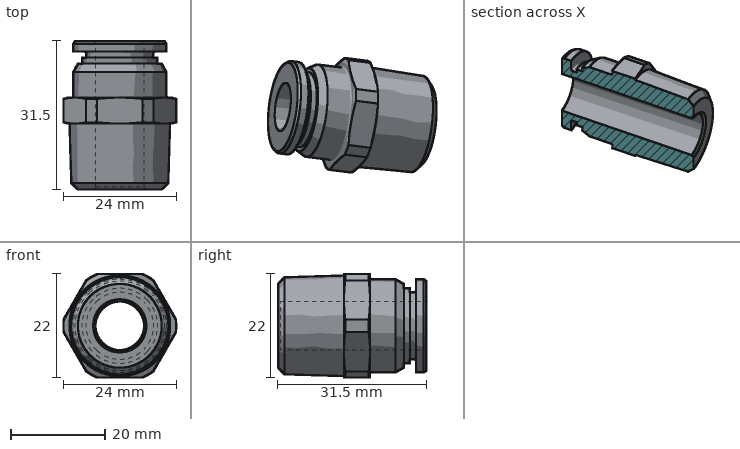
import cadquery as cq
import math

thread_chamfer_y = 1.35
hex_start_y = 14.0
hex_end_y = 19.5
shoulder_start_y = 24.9
shoulder_end_y = 26.7
ring_end_y = 28.0
cap_start_y = 29.25
cap_chamfer_y = 30.9
overall_length = 31.5

thread_tip_radius = 8.9
thread_small_radius = 10.32
thread_large_radius = 10.7
body_radius = 9.9
shoulder_radius = 8.9
ring_radius = 8.0
sleeve_radius = 7.15
cap_radius = 9.9
cap_edge_radius = 9.5

root_fillet = 0.3

hex_sides = 6
hex_across_flats = 22.0
hex_corner_diameter = 24.0
hex_bevel_angle = 15.0

bore_radius = 5.15
bore_chamfer = 0.5


def revolve_profile(outline):
    """Revolve an open (radius, y) outline, closed along the Y axis, around that axis."""
    return outline.close().revolve(360, (0, 0, 0), (0, 1, 0))


def turned_body():
    """Tapered thread, cylindrical body, ring, sleeve and release cap as one turned blank."""
    return revolve_profile(
        cq.Workplane("XY")
        .lineTo(thread_tip_radius, 0)
        .lineTo(thread_small_radius, thread_chamfer_y)
        .lineTo(thread_large_radius, hex_start_y)
        .lineTo(thread_large_radius, hex_end_y)
        .lineTo(body_radius + root_fillet, hex_end_y)
        .radiusArc((body_radius, hex_end_y + root_fillet), root_fillet)
        .lineTo(body_radius, shoulder_start_y)
        .lineTo(shoulder_radius, shoulder_end_y)
        .lineTo(ring_radius, shoulder_end_y)
        .lineTo(ring_radius, ring_end_y)
        .lineTo(sleeve_radius, ring_end_y)
        .lineTo(sleeve_radius, cap_start_y - root_fillet)
        .radiusArc((sleeve_radius + root_fillet, cap_start_y), root_fillet)
        .lineTo(cap_radius, cap_start_y)
        .lineTo(cap_radius, cap_chamfer_y)
        .lineTo(cap_edge_radius, overall_length)
        .lineTo(0, overall_length)
    )


def hexagon():
    """Hexagon with rounded corners and both end faces bevelled down to the flats."""
    flat_radius = hex_across_flats / 2
    corner_radius = hex_corner_diameter / 2
    bevel_height = (corner_radius - flat_radius) * math.tan(math.radians(hex_bevel_angle))
    sharp_diameter = hex_across_flats / math.cos(math.pi / hex_sides)
    prism = (
        cq.Workplane("XZ", origin=(0, hex_start_y, 0))
        .polygon(hex_sides, sharp_diameter)
        .extrude(hex_start_y - hex_end_y)
    )
    envelope = revolve_profile(cq.Workplane("XY").polyline([
        (0, hex_start_y),
        (flat_radius, hex_start_y),
        (corner_radius, hex_start_y + bevel_height),
        (corner_radius, hex_end_y - bevel_height),
        (flat_radius, hex_end_y),
        (0, hex_end_y),
    ]))
    return prism.intersect(envelope)


def bore():
    """Through bore with a chamfered mouth at the threaded end."""
    return revolve_profile(cq.Workplane("XY").polyline([
        (0, 0),
        (bore_radius + bore_chamfer, 0),
        (bore_radius, bore_chamfer),
        (bore_radius, overall_length),
        (0, overall_length),
    ]))


result = turned_body().union(hexagon()).cut(bore())